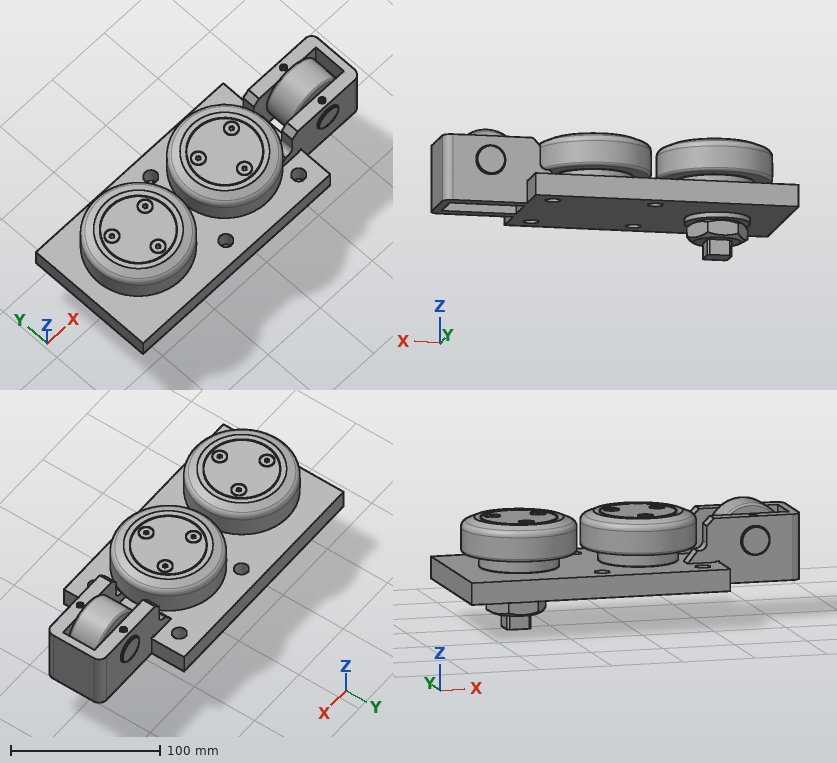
import cadquery as cq
import math

PLATE_LENGTH = 180.0
PLATE_WIDTH = 100.0
PLATE_THICKNESS = 15.0
PLATE_HOLE_DIAMETER = 10.11
PLATE_HOLE_CENTRE_X = 130.0
PLATE_HOLE_PITCH_X = 70.0
PLATE_HOLE_PITCH_Y = 70.0

ROLLER_X_POSITIONS = (47.0, 130.0)
ROLLER_DIAMETER = 78.0
ROLLER_BOTTOM_Z = 25.0
ROLLER_TOP_Z = 48.6
ROLLER_TOP_FACE_DIAMETER = 60.0
ROLLER_BEVEL_DIAMETER = 72.0
ROLLER_BEVEL_HEIGHT = 2.5
ROLLER_CROWN = 0.1
ROLLER_BOTTOM_ROUND = 2.0
HUB_DIAMETER = 54.0
HUB_CHAMFER = 0.6

COVER_BORE_DIAMETER = 52.0
COVER_DIAMETER = 51.0
SCREW_RECESS_DIAMETER = 10.4
SCREW_HEAD_DIAMETER = 9.75
SCREW_COUNT = 3
SCREW_CIRCLE_RADIUS = 18.4
SCREW_FIRST_ANGLE = 30.0
SCREW_SOCKET_FLATS = 3.0
SCREW_SOCKET_DEPTH = 2.0
COVER_GAP_DEPTH = 0.5

STUD_X = 45.0
WASHER_DIAMETER = 44.0
WASHER_THICKNESS = 3.5
NUT_FLATS = 36.0
NUT_THICKNESS = 12.5
NUT_FACE_DIAMETER = 32.0
NUT_BEVEL_ANGLE = 30.0
STUD_DIAMETER = 21.6
STUD_SQUARE = 16.8
STUD_END_Z = -26.5

FORK_END_X = 237.0
FORK_WIDTH = 46.0
FORK_HEIGHT = 45.0
FORK_SLOT_WIDTH = 26.0
FORK_END_WALL = 6.0
FORK_CORNER_RADIUS = 6.0
FORK_TOE_X = 158.0
FORK_STEP_X = 164.7
FORK_STEP_Z = 23.4
FORK_FACE_X = 171.3
FORK_STEP_RADIUS = 5.0
FORK_TOP_CHAMFER = 5.0
FORK_RELIEF_LENGTH = 2.5
FORK_RELIEF_HEIGHT = 0.6
SET_SCREW_HOLE_DIAMETER = 4.92
SET_SCREW_DEPTH = 1.0
SET_SCREW_SOCKET_FLATS = 2.5
SET_SCREW_SOCKET_DEPTH = 2.0

PIN_X = 205.0
PIN_Z = 28.5
PIN_DIAMETER = 20.0
PIN_HOLE_DIAMETER = 20.1
PIN_LENGTH = 48.8
PIN_CHAMFER = 0.75
SMALL_ROLLER_DIAMETER = 47.0
SMALL_ROLLER_WIDTH = 24.0
SMALL_ROLLER_ROUND = 1.5
SMALL_ROLLER_CROWN = 0.15


def disc(x, bottom_z, top_z, diameter):
    """Upright cylinder on the plate's centre line."""
    return cq.Workplane("XY", origin=(x, 0, bottom_z)).circle(diameter / 2).extrude(top_z - bottom_z)


def hexagon_prism(x, y, bottom_z, height, flats):
    """Upright hexagonal prism with two corners along X."""
    corners = flats / math.cos(math.pi / 6)
    return cq.Workplane("XY", origin=(x, y, bottom_z)).polygon(6, corners).extrude(height)


def make_plate():
    plate = cq.Workplane("XY").box(
        PLATE_LENGTH, PLATE_WIDTH, PLATE_THICKNESS, centered=(False, True, False)
    )
    holes = (
        cq.Workplane("XY", origin=(PLATE_HOLE_CENTRE_X, 0, 0))
        .rarray(PLATE_HOLE_PITCH_X, PLATE_HOLE_PITCH_Y, 2, 2)
        .circle(PLATE_HOLE_DIAMETER / 2)
        .extrude(PLATE_THICKNESS)
    )
    return plate.cut(holes)


def make_fork():
    """Fork with a thin relief where its arms pass the end of the plate."""
    relief_top_z = PLATE_THICKNESS + FORK_RELIEF_HEIGHT
    side = (
        cq.Workplane("XZ", origin=(0, FORK_WIDTH / 2, 0))
        .moveTo(FORK_TOE_X, PLATE_THICKNESS)
        .lineTo(FORK_STEP_X, FORK_STEP_Z)
        .lineTo(FORK_FACE_X - FORK_STEP_RADIUS, FORK_STEP_Z)
        .radiusArc((FORK_FACE_X, FORK_STEP_Z + FORK_STEP_RADIUS), -FORK_STEP_RADIUS)
        .lineTo(FORK_FACE_X, FORK_HEIGHT - FORK_TOP_CHAMFER)
        .lineTo(FORK_FACE_X + FORK_TOP_CHAMFER, FORK_HEIGHT)
        .lineTo(FORK_END_X, FORK_HEIGHT)
        .lineTo(FORK_END_X, 0)
        .lineTo(PLATE_LENGTH, 0)
        .lineTo(PLATE_LENGTH, relief_top_z)
        .lineTo(PLATE_LENGTH - FORK_RELIEF_LENGTH, relief_top_z)
        .lineTo(PLATE_LENGTH - FORK_RELIEF_LENGTH, PLATE_THICKNESS)
        .close()
        .extrude(FORK_WIDTH)
    )
    fork = side.edges("|Z and >X").fillet(FORK_CORNER_RADIUS)
    slot_end_x = FORK_END_X - FORK_END_WALL
    slot = cq.Workplane("XY", origin=(FORK_TOE_X, 0, 0)).box(
        slot_end_x - FORK_TOE_X, FORK_SLOT_WIDTH, FORK_HEIGHT, centered=(False, True, False)
    )
    pin_hole = (
        cq.Workplane("XZ", origin=(PIN_X, FORK_WIDTH / 2, PIN_Z))
        .circle(PIN_HOLE_DIAMETER / 2)
        .extrude(FORK_WIDTH)
    )
    fork = fork.cut(slot).cut(pin_hole)
    arm_centre_y = (FORK_WIDTH + FORK_SLOT_WIDTH) / 4
    screw_z = FORK_HEIGHT - SET_SCREW_DEPTH
    for y in (-arm_centre_y, arm_centre_y):
        hole = (
            cq.Workplane("XY", origin=(PIN_X, y, screw_z))
            .circle(SET_SCREW_HOLE_DIAMETER / 2)
            .extrude(SET_SCREW_DEPTH)
        )
        socket = hexagon_prism(
            PIN_X, y, screw_z - SET_SCREW_SOCKET_DEPTH, SET_SCREW_SOCKET_DEPTH, SET_SCREW_SOCKET_FLATS
        )
        fork = fork.cut(hole).cut(socket)
    return fork


def make_large_roller(x):
    """Crowned roller with its hub, cover disc and cover screws."""
    crown_radius = ROLLER_DIAMETER / 2
    edge_radius = crown_radius - ROLLER_CROWN
    bottom_round_z = ROLLER_BOTTOM_Z + ROLLER_BOTTOM_ROUND
    top_face_radius = ROLLER_TOP_FACE_DIAMETER / 2
    bevel_radius = ROLLER_BEVEL_DIAMETER / 2
    bevel_z = ROLLER_TOP_Z - ROLLER_BEVEL_HEIGHT
    bevel_slope = math.atan2(ROLLER_BEVEL_HEIGHT, bevel_radius - top_face_radius)
    shoulder_radius = (edge_radius - bevel_radius) / (1 - math.sin(bevel_slope))
    shoulder_z = bevel_z - shoulder_radius * math.cos(bevel_slope)
    crown_z = (bottom_round_z + shoulder_z) / 2
    profile = (
        cq.Workplane("XZ")
        .moveTo(0, ROLLER_BOTTOM_Z)
        .lineTo(0, ROLLER_TOP_Z)
        .lineTo(top_face_radius, ROLLER_TOP_Z)
        .lineTo(bevel_radius, bevel_z)
        .tangentArcPoint((edge_radius, shoulder_z), relative=False)
        .threePointArc((crown_radius, crown_z), (edge_radius, bottom_round_z))
        .radiusArc((edge_radius - ROLLER_BOTTOM_ROUND, ROLLER_BOTTOM_Z), ROLLER_BOTTOM_ROUND)
        .close()
    )
    roller = profile.revolve(360, (0, 0, 0), (0, 1, 0)).translate((x, 0, 0))
    gap_z = ROLLER_TOP_Z - COVER_GAP_DEPTH
    cover_gap = disc(x, gap_z, ROLLER_TOP_Z, COVER_BORE_DIAMETER).cut(
        disc(x, gap_z, ROLLER_TOP_Z, COVER_DIAMETER)
    )
    roller = roller.cut(cover_gap)
    screw_gap = (
        cq.Workplane("XY", origin=(x, 0, gap_z))
        .polarArray(SCREW_CIRCLE_RADIUS, SCREW_FIRST_ANGLE, 360, SCREW_COUNT)
        .circle(SCREW_RECESS_DIAMETER / 2)
        .circle(SCREW_HEAD_DIAMETER / 2)
        .extrude(COVER_GAP_DEPTH)
    )
    socket_corners = SCREW_SOCKET_FLATS / math.cos(math.pi / 6)
    sockets = (
        cq.Workplane("XY", origin=(x, 0, ROLLER_TOP_Z - SCREW_SOCKET_DEPTH))
        .polarArray(SCREW_CIRCLE_RADIUS, SCREW_FIRST_ANGLE, 360, SCREW_COUNT)
        .polygon(6, socket_corners)
        .extrude(SCREW_SOCKET_DEPTH)
    )
    hub = disc(x, PLATE_THICKNESS, ROLLER_BOTTOM_Z, HUB_DIAMETER).edges().chamfer(HUB_CHAMFER)
    return roller.cut(screw_gap).cut(sockets).union(hub)


def make_nut():
    """Hexagon nut with its corners bevelled at both ends."""
    corner_radius = NUT_FLATS / 2 / math.cos(math.pi / 6)
    face_radius = NUT_FACE_DIAMETER / 2
    bevel_height = (corner_radius - face_radius) * math.tan(math.radians(NUT_BEVEL_ANGLE))
    nut_bottom_z = -WASHER_THICKNESS - NUT_THICKNESS
    bevelled_blank = (
        cq.Workplane("XZ")
        .moveTo(0, 0)
        .lineTo(face_radius, 0)
        .lineTo(corner_radius, bevel_height)
        .lineTo(corner_radius, NUT_THICKNESS - bevel_height)
        .lineTo(face_radius, NUT_THICKNESS)
        .lineTo(0, NUT_THICKNESS)
        .close()
        .revolve(360, (0, 0, 0), (0, 1, 0))
        .translate((STUD_X, 0, nut_bottom_z))
    )
    return hexagon_prism(STUD_X, 0, nut_bottom_z, NUT_THICKNESS, NUT_FLATS).intersect(bevelled_blank)


def make_stud():
    """Washer, nut and the squared stud end below the plate."""
    washer = disc(STUD_X, -WASHER_THICKNESS, 0, WASHER_DIAMETER)
    stud = disc(STUD_X, STUD_END_Z, 0, STUD_DIAMETER)
    square = (
        cq.Workplane("XY", origin=(STUD_X, 0, STUD_END_Z))
        .rect(STUD_SQUARE, STUD_SQUARE)
        .extrude(-STUD_END_Z)
    )
    return washer.union(make_nut()).union(stud.intersect(square))


def make_carriage():
    """Plate, fork, both large rollers and the stud as one body."""
    carriage = make_plate().union(make_fork()).union(make_stud())
    for x in ROLLER_X_POSITIONS:
        carriage = carriage.union(make_large_roller(x))
    return carriage


def make_pin_roller():
    """Crowned small roller on its pin, held in the fork's pin hole."""
    pin = (
        cq.Workplane("XZ", origin=(PIN_X, PIN_LENGTH / 2, PIN_Z))
        .circle(PIN_DIAMETER / 2)
        .extrude(PIN_LENGTH)
        .edges()
        .chamfer(PIN_CHAMFER)
    )
    half_width = SMALL_ROLLER_WIDTH / 2
    crown_radius = SMALL_ROLLER_DIAMETER / 2
    edge_radius = crown_radius - SMALL_ROLLER_CROWN
    round_start = half_width - SMALL_ROLLER_ROUND
    face_radius = edge_radius - SMALL_ROLLER_ROUND
    roller = (
        cq.Workplane("XY")
        .moveTo(0, -half_width)
        .lineTo(face_radius, -half_width)
        .radiusArc((edge_radius, -round_start), -SMALL_ROLLER_ROUND)
        .threePointArc((crown_radius, 0), (edge_radius, round_start))
        .radiusArc((face_radius, half_width), -SMALL_ROLLER_ROUND)
        .lineTo(0, half_width)
        .close()
        .revolve(360, (0, 0, 0), (0, 1, 0))
        .translate((PIN_X, 0, PIN_Z))
    )
    return pin.union(roller)


carriage = make_carriage()
pin_roller = make_pin_roller()
result = cq.Compound.makeCompound([carriage.val(), pin_roller.val()])